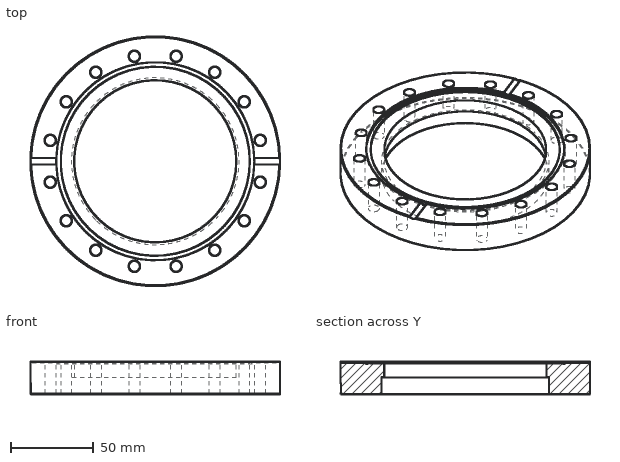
import cadquery as cq
import math

outer_diameter = 152.0
thickness = 20.0
edge_chamfer = 0.5

upper_bore_diameter = 98.5
lower_bore_diameter = 101.8
lower_bore_depth = 10.3

recess_diameter = 120.5
knife_diameter = 115.2
knife_base_diameter = 114.9
knife_tip_depth = 0.6
knife_slope_angle = 20.0
inner_floor_depth = 1.2

bolt_count = 16
bolt_circle_diameter = 130.3
bolt_hole_diameter = 6.7

groove_width = 4.0
groove_depth = 0.9


def make_body():
    """Plain disc with both outer rims chamfered."""
    disc = cq.Workplane("XY").circle(outer_diameter / 2).extrude(thickness)
    return disc.faces("<Z or >Z").edges().chamfer(edge_chamfer)


def make_bore():
    """Stepped through bore, with the wider step at the bottom."""
    upper = cq.Workplane("XY").circle(upper_bore_diameter / 2).extrude(thickness)
    lower = cq.Workplane("XY").circle(lower_bore_diameter / 2).extrude(lower_bore_depth)
    return upper.union(lower)


def make_seal_recess():
    """Revolved recess: flat inner floor, steep knife flank, then a slope falling to the outer wall."""
    recess_radius = recess_diameter / 2
    knife_radius = knife_diameter / 2
    slope_drop = (recess_radius - knife_radius) * math.tan(math.radians(knife_slope_angle))
    base_radius = knife_base_diameter / 2
    floor_z = thickness - inner_floor_depth
    tip_z = thickness - knife_tip_depth
    return (
        cq.Workplane("XZ")
        .moveTo(0, thickness)
        .lineTo(0, floor_z)
        .lineTo(base_radius, floor_z)
        .lineTo(knife_radius, tip_z)
        .lineTo(recess_radius, tip_z - slope_drop)
        .lineTo(recess_radius, thickness)
        .close()
        .revolve(360, (0, 0, 0), (0, 1, 0))
    )


def make_bolt_holes():
    half_pitch = 180 / bolt_count
    return (
        cq.Workplane("XY")
        .polarArray(bolt_circle_diameter / 2, half_pitch, 360, bolt_count)
        .circle(bolt_hole_diameter / 2)
        .extrude(thickness)
    )


def make_grooves():
    """One cylinder lying across the top face; it cuts a groove on each side of the recess."""
    groove_radius = (groove_width**2 / 4 + groove_depth**2) / (2 * groove_depth)
    axis_z = thickness - groove_depth + groove_radius
    cylinder = (
        cq.Workplane("YZ")
        .center(0, axis_z)
        .circle(groove_radius)
        .extrude(outer_diameter / 2, both=True)
    )
    center_clearance = cq.Workplane("XY").circle(recess_diameter / 2).extrude(2 * thickness)
    return cylinder.cut(center_clearance)


result = (
    make_body()
    .cut(make_bore())
    .cut(make_seal_recess())
    .cut(make_bolt_holes())
    .cut(make_grooves())
)